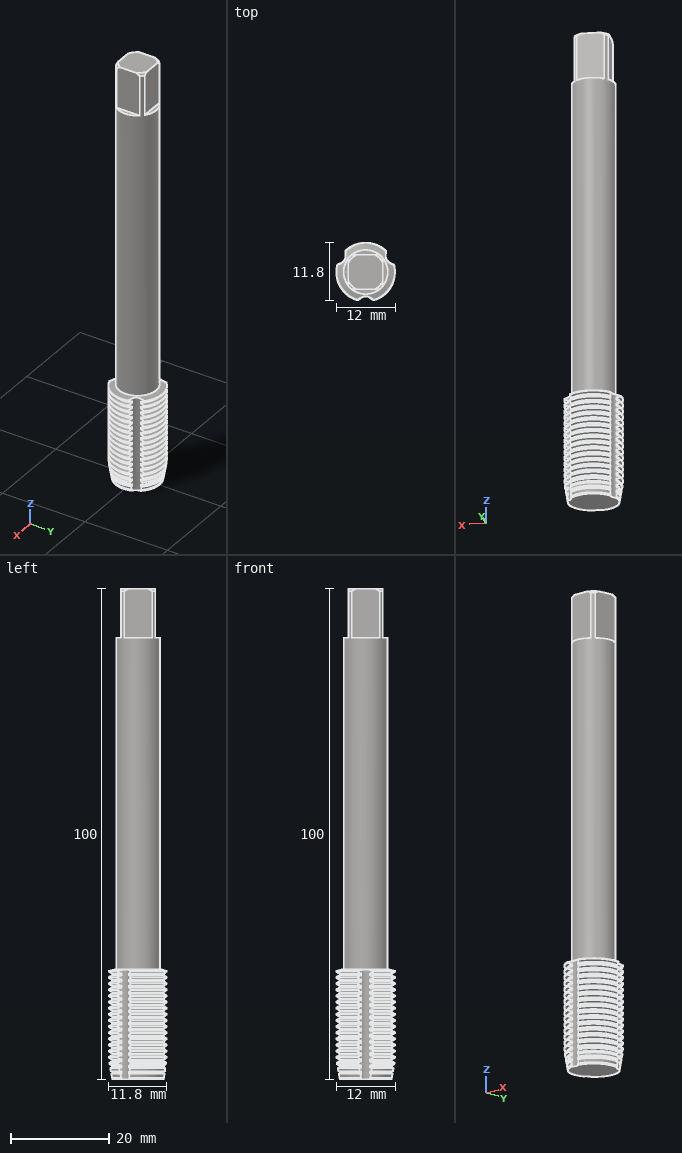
import cadquery as cq
import math

total_length = 100.0
head_length = 22.5
square_length = 10.0
cut_margin = 1.0

shank_radius = 4.5
square_width = 7.0
tip_chamfer = 0.5

crest_radius = 6.0
root_radius = 5.3
crest_width = 0.15
flank_angle = 30.0
tooth_count = 18
pitch = head_length / tooth_count
tooth_half_width = crest_width / 2 + (crest_radius - root_radius) * math.tan(math.radians(flank_angle))
shoulder_height = 0.4
top_crest_z = head_length - shoulder_height - crest_width / 2

lead_length = 4.0
lead_tip_radius = root_radius

flute_count = 3
flute_apex_radius = 4.6
flute_wall_angle = 36.0
flute_floor_radius = 1.6
flute_outer_radius = crest_radius + cut_margin


def make_shank():
    """Round shank with a square driving end and a chamfered tip."""
    shank_length = total_length - head_length
    shank = (
        cq.Workplane("XY")
        .workplane(offset=head_length)
        .circle(shank_radius)
        .extrude(shank_length)
        .faces(">Z")
        .chamfer(tip_chamfer)
    )
    blank_width = 2 * (shank_radius + cut_margin)
    around_square = (
        cq.Workplane("XY")
        .workplane(offset=total_length - square_length)
        .rect(blank_width, blank_width)
        .rect(square_width, square_width)
        .extrude(square_length)
    )
    return shank.cut(around_square)


def make_toothed_blank():
    """Solid of revolution: equally spaced ring teeth below a conical shoulder."""
    outline = cq.Workplane("XZ").lineTo(root_radius, 0)
    for tooth in reversed(range(tooth_count)):
        crest_z = top_crest_z - tooth * pitch
        outline = (
            outline.lineTo(root_radius, crest_z - tooth_half_width)
            .lineTo(crest_radius, crest_z - crest_width / 2)
            .lineTo(crest_radius, crest_z + crest_width / 2)
        )
        if tooth > 0:
            outline = outline.lineTo(root_radius, crest_z + tooth_half_width)
    return (
        outline.lineTo(shank_radius, head_length)
        .lineTo(0, head_length)
        .close()
        .revolve(360, (0, 0), (0, 1))
    )


def make_lead_envelope():
    """Cylinder whose lower end narrows to the tip, used to trim the first teeth."""
    return (
        cq.Workplane("XZ")
        .lineTo(lead_tip_radius, 0)
        .lineTo(crest_radius, lead_length)
        .lineTo(crest_radius, head_length)
        .lineTo(0, head_length)
        .close()
        .revolve(360, (0, 0), (0, 1))
    )


def make_flute(angle):
    """Full-length V groove with a rounded floor, facing -Y before being turned by angle."""
    half_width = (flute_outer_radius - flute_apex_radius) / math.tan(math.radians(flute_wall_angle))
    return (
        cq.Workplane("XY")
        .moveTo(0, -flute_apex_radius)
        .lineTo(half_width, -flute_outer_radius)
        .lineTo(-half_width, -flute_outer_radius)
        .close()
        .extrude(head_length)
        .edges("|Z and >Y")
        .fillet(flute_floor_radius)
        .rotate((0, 0, 0), (0, 0, 1), angle)
    )


def make_cutting_head():
    """Toothed blank with a tapered lead, split by evenly spaced flutes."""
    head = make_toothed_blank().intersect(make_lead_envelope())
    for flute in range(flute_count):
        head = head.cut(make_flute(flute * 360 / flute_count))
    return head


shank = make_shank()
cutting_head = make_cutting_head()

result = cq.Compound.makeCompound([shank.val(), cutting_head.val()])